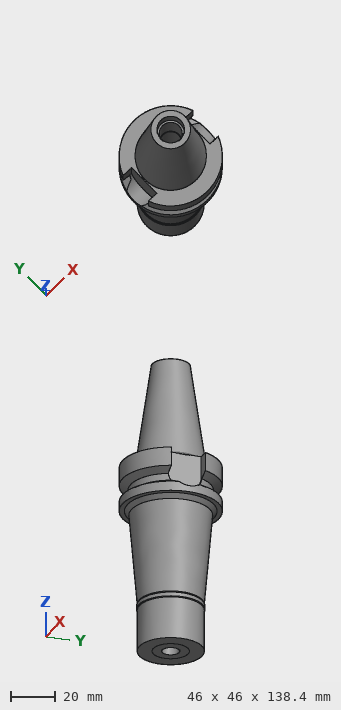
import cadquery as cq

total_height = 138.4
flange_top = 89.1
body_bottom = 22.7

gauge_radius = 31.7 / 2
gauge_height = 90.0
taper_slope = 7 / 48
taper_top_radius = gauge_radius - (total_height - gauge_height) * taper_slope

flange_radius = 46.0 / 2
upper_rim_height = 8.9
bevel_height = 2.2
groove_radius = 19.1
groove_width = 3.3
lower_rim_height = 4.4
underside_outer_radius = 20.6
underside_bevel_height = 2.1

body_top_radius = 18.7
body_bottom_radius = 15.0
spigot_radius = 11.2
spigot_bottom = 6.9

slot_width = 16.2
slot_floor = 16.3
slot_depth = 18.1

entry_bore_radius = 6.1
entry_bore_depth = 7.5
thread_bore_radius = 5.1
thread_bore_depth = 24.0
clearance_bore_radius = 4.8

collet_top = 38.8
collet_top_radius = 6.6
collet_radius = 8.3
collet_bore_radius = 8.0 / 2

nut_radius = 15.0
nut_top = 22.0
collar_radius = 15.2
collar_height = 1.8
collar_bevel_height = 0.4


def revolve_profile(points):
    """Turn a closed (radius, height) outline about the Z axis."""
    return cq.Workplane("XZ").polyline(points).close().revolve(360, (0, 0, 0), (0, 1, 0))


def cylinder(radius, bottom, top):
    return cq.Workplane("XY").workplane(offset=bottom).circle(radius).extrude(top - bottom)


def make_drive_slot(side):
    """Cutter for one round-ended slot; side is -1 for -X and +1 for +X."""
    end_radius = slot_width / 2
    end_height = flange_top - slot_depth + end_radius
    return (
        cq.Workplane("YZ", origin=(side * slot_floor, 0, 0))
        .moveTo(-end_radius, flange_top)
        .lineTo(-end_radius, end_height)
        .threePointArc((0, end_height - end_radius), (end_radius, end_height))
        .lineTo(end_radius, flange_top)
        .close()
        .extrude(side * flange_radius)
    )


def make_collet():
    """Collet with a conical upper part, a straight lower part and a through bore."""
    return revolve_profile([
        (collet_bore_radius, 0),
        (collet_radius, 0),
        (collet_radius, spigot_bottom),
        (collet_top_radius, collet_top),
        (collet_bore_radius, collet_top),
    ])


def make_holder():
    upper_rim_bottom = flange_top - upper_rim_height
    groove_top = upper_rim_bottom - bevel_height
    groove_bottom = groove_top - groove_width
    lower_rim_top = groove_bottom - bevel_height
    lower_rim_bottom = lower_rim_top - lower_rim_height
    body_top = lower_rim_bottom - underside_bevel_height
    holder = revolve_profile([
        (0, total_height),
        (taper_top_radius, total_height),
        (gauge_radius, gauge_height),
        (gauge_radius, flange_top),
        (flange_radius, flange_top),
        (flange_radius, upper_rim_bottom),
        (groove_radius, groove_top),
        (groove_radius, groove_bottom),
        (flange_radius, lower_rim_top),
        (flange_radius, lower_rim_bottom),
        (underside_outer_radius, lower_rim_bottom),
        (body_top_radius, body_top),
        (body_bottom_radius, body_bottom),
        (spigot_radius, body_bottom),
        (spigot_radius, spigot_bottom),
        (0, spigot_bottom),
    ])
    for side in (-1, 1):
        holder = holder.cut(make_drive_slot(side))

    holder = holder.cut(cylinder(entry_bore_radius, total_height - entry_bore_depth, total_height))
    holder = holder.cut(cylinder(thread_bore_radius, total_height - thread_bore_depth, total_height))
    holder = holder.cut(cylinder(clearance_bore_radius, collet_top, total_height))

    socket = revolve_profile([
        (0, spigot_bottom),
        (collet_radius, spigot_bottom),
        (collet_top_radius, collet_top),
        (0, collet_top),
    ])
    return holder.cut(socket)


def make_nut():
    """Nut with a raised collar at its top, fitting over the spigot and around the collet."""
    collar_bottom = nut_top - collar_height
    return revolve_profile([
        (collet_radius, 0),
        (nut_radius, 0),
        (nut_radius, collar_bottom - collar_bevel_height),
        (collar_radius, collar_bottom),
        (collar_radius, nut_top),
        (spigot_radius, nut_top),
        (spigot_radius, spigot_bottom),
        (collet_radius, spigot_bottom),
    ])


holder = make_holder()
collet = make_collet()
nut = make_nut()

result = cq.Compound.makeCompound([holder.val(), collet.val(), nut.val()])